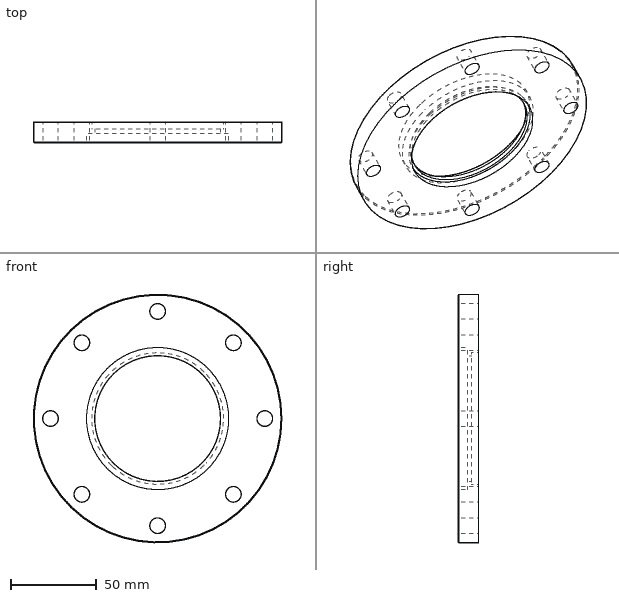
import cadquery as cq

outer_diameter = 145.0
thickness = 12.0
edge_chamfer = 0.6

recess_diameter = 83.0
recess_depth = 5.5
bore_diameter = 73.2
lip_width = 2.5
rear_recess_diameter = 76.8
rear_recess_depth = thickness - recess_depth - lip_width

bolt_count = 8
bolt_hole_diameter = 9.0
bolt_circle_diameter = 125.0


def cylinder(diameter, start, length):
    """Cylinder on the flange axis, starting at a depth behind the front face."""
    plane = cq.Plane(origin=(0, start, 0), xDir=(1, 0, 0), normal=(0, 1, 0))
    return cq.Workplane(plane).circle(diameter / 2).extrude(length)


def bolt_holes():
    """Through holes equally spaced on the bolt circle."""
    plane = cq.Plane(origin=(0, 0, 0), xDir=(1, 0, 0), normal=(0, 1, 0))
    return (
        cq.Workplane(plane)
        .polarArray(bolt_circle_diameter / 2, 0, 360, bolt_count)
        .circle(bolt_hole_diameter / 2)
        .extrude(thickness)
    )


flange = cylinder(outer_diameter, 0, thickness).faces("<Y").edges().chamfer(edge_chamfer)

flange = flange.cut(cylinder(bore_diameter, 0, thickness))
flange = flange.cut(cylinder(recess_diameter, 0, recess_depth))
flange = flange.cut(cylinder(rear_recess_diameter, thickness - rear_recess_depth, rear_recess_depth))

result = flange.cut(bolt_holes())